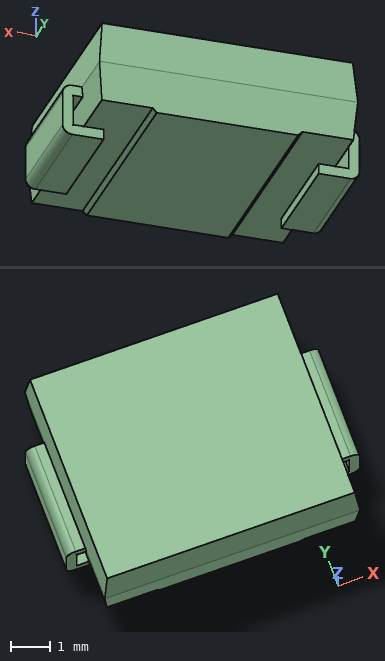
import cadquery as cq
import math

overall_length = 7.95
overall_height = 2.6

body_length = 6.92
body_width = 5.9
parting_height = 1.42
body_underside = 0.36
draft_angle = 5.0

pad_underside = 0.25
pad_root_length = 4.01

lead_width = 3.03
lead_thickness = 0.29
lead_bend_radius = 0.255
foot_length = 1.1
lead_embed_depth = 0.24


def drafted_block(height, direction):
    """Block from the parting plane, narrowing upward (direction 1) or downward (-1)."""
    inset = height * math.tan(math.radians(draft_angle))
    return (
        cq.Workplane("XY", origin=(0, 0, parting_height))
        .rect(body_length, body_width)
        .workplane(offset=direction * height)
        .rect(body_length - 2 * inset, body_width - 2 * inset)
        .loft(ruled=True)
    )


def underside_profile():
    """XZ profile that trims the lower block to its flat underside and central pad."""
    half_length = body_length / 2
    pad_root = pad_root_length / 2
    pad_tip = pad_root - (body_underside - pad_underside)
    return (
        cq.Workplane("XZ")
        .polyline([
            (-half_length, parting_height),
            (-half_length, body_underside),
            (-pad_root, body_underside),
            (-pad_tip, pad_underside),
            (pad_tip, pad_underside),
            (pad_root, body_underside),
            (half_length, body_underside),
            (half_length, parting_height),
        ])
        .close()
        .extrude(body_width / 2, both=True)
    )


def lead():
    """Lead at the -X end: out of the body, down, and back under it as a foot."""
    outer = -overall_length / 2
    inner = outer + lead_thickness
    foot_end = outer + foot_length
    root = -body_length / 2 + lead_embed_depth
    return (
        cq.Workplane("XZ")
        .polyline([
            (root, parting_height),
            (outer, parting_height),
            (outer, 0),
            (foot_end, 0),
            (foot_end, lead_thickness),
            (inner, lead_thickness),
            (inner, parting_height - lead_thickness),
            (root, parting_height - lead_thickness),
        ])
        .close()
        .extrude(lead_width / 2, both=True)
        .edges("|Y and <X")
        .fillet(lead_bend_radius)
    )


upper_body = drafted_block(overall_height - parting_height, 1)
lower_body = drafted_block(parting_height - pad_underside, -1).intersect(underside_profile())
left_lead = lead()
right_lead = left_lead.mirror("YZ")

result = upper_body.union(lower_body).union(left_lead).union(right_lead)